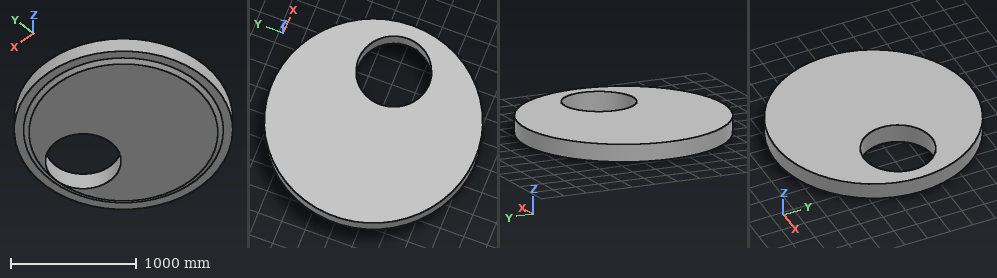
import cadquery as cq

plate_diameter = 1740.0
total_height = 170.0
spigot_height = 25.0
plate_thickness = total_height - spigot_height

spigot_top_diameter = 1590.0
spigot_bottom_diameter = 1503.0

opening_diameter = 600.0
opening_offset = 450.0

cover = (
    cq.Workplane("XZ")
    .moveTo(0, 0)
    .lineTo(spigot_bottom_diameter / 2, 0)
    .lineTo(spigot_top_diameter / 2, spigot_height)
    .lineTo(plate_diameter / 2, spigot_height)
    .lineTo(plate_diameter / 2, spigot_height + plate_thickness)
    .lineTo(0, spigot_height + plate_thickness)
    .close()
    .revolve(360, (0, 0, 0), (0, 1, 0))
)

opening = (
    cq.Workplane("XY")
    .center(opening_offset, 0)
    .circle(opening_diameter / 2)
    .extrude(total_height)
)

result = cover.cut(opening)